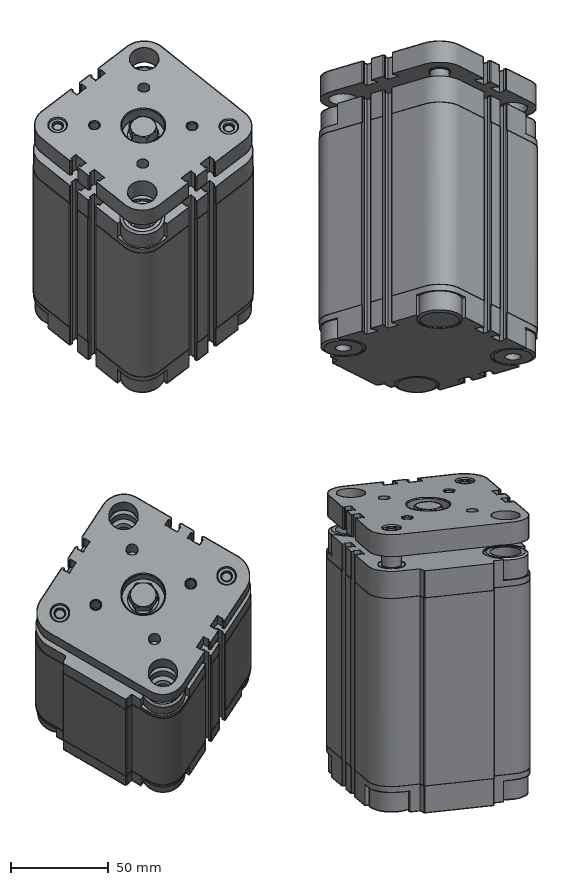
import cadquery as cq
import math


TOTAL_HEIGHT = 149.5
HOUSING_SIDE = 87.0
HOUSING_HEIGHT = 129.9
CAP_HEIGHT = 14.5
CAP_INSET = 0.1
PLATE_SIDE = 86.0
PLATE_THICKNESS = 11.8
CORNER_OFFSET = 31.0

GUIDE_AXES = [(-CORNER_OFFSET, -CORNER_OFFSET), (CORNER_OFFSET, CORNER_OFFSET)]
MOUNT_AXES = [(-CORNER_OFFSET, CORNER_OFFSET), (CORNER_OFFSET, -CORNER_OFFSET)]

SLOT_SPACING = 13.5
SLOT_OPENING = 5.1
SLOT_LIP_CHAMFER = 0.52
FRONT_SLOT_WIDTH = 7.3
FRONT_SLOT_DEPTH = 5.5
FRONT_SLOT_LIP = 2.1
SIDE_SLOT_WIDTH = 6.7
SIDE_SLOT_DEPTH = 5.2
SIDE_SLOT_LIP = 1.8

RAIL_HEIGHT = 4.0
RAIL_BASE_WIDTH = 40.2
RAIL_FOOT_WIDTH = 39.5
RAIL_FOOT_HEIGHT = 0.7
RAIL_SHOULDER_WIDTH = 38.4
RAIL_TOP_WIDTH = 37.4
RAIL_TOP_CHAMFER = 0.6

BOSS_DIAMETER = 23.0
BOSS_FACE_DIAMETER = 20.0
BOSS_CHAMFER_HEIGHT = 0.7
NOTCH_START = 25.4
NOTCH_HEIGHT = 11.2

MOUNT_HOLE_DIAMETER = 8.4
MOUNT_COUNTERSINK_DIAMETER = 11.0
MOUNT_COUNTERBORE_DIAMETER = 16.0
MOUNT_COUNTERBORE_DEPTH = 7.5
PLATE_ACCESS_DIAMETER = 15.0

GUIDE_DIAMETER = 10.0
GUIDE_COLLAR_DIAMETER = 11.0
GUIDE_COLLAR_HEIGHT = 0.6
GUIDE_SEAL_DIAMETER = 14.0
GUIDE_SEAL_DEPTH = 0.3
GUIDE_END_DIAMETER = 9.0
GUIDE_END_DEPTH = 0.7
GUIDE_SOCKET_DIAMETER = 5.0
GUIDE_SOCKET_RIM_DIAMETER = 6.0
GUIDE_SOCKET_DEPTH = 1.5

ROD_DIAMETER = 16.0
ROD_FLATS_WIDTH = 13.0
ROD_FLATS_HEIGHT = 6.1
ROD_SHOULDER_HEIGHT = 0.3
HEX_WIDTH = 13.0
HEX_TOP_DROP = 0.7
HEX_CHAMFER_HEIGHT = 0.6

RECESS_DIAMETER = 22.0
RECESS_RIM_DIAMETER = 23.0
RECESS_DEPTH = 7.5
PLATE_HOLE_OFFSET = 17.6
PIN_HOLE_DIAMETER = 6.0
THREAD_HOLE_DIAMETER = 5.0

HOUSING_HALF = HOUSING_SIDE / 2
CORNER_RADIUS = HOUSING_HALF - CORNER_OFFSET
PLATE_BOTTOM = TOTAL_HEIGHT - PLATE_THICKNESS
ROD_END = HOUSING_HEIGHT - CAP_HEIGHT
RECESS_FLOOR = TOTAL_HEIGHT - RECESS_DEPTH
CUT_MARGIN = 1.5


def rounded_square(side, bottom, height):
    """Square block with corners rounded to the housing radius, which is centered on the corner axes."""
    block = cq.Workplane("XY").workplane(offset=bottom).rect(side, side).extrude(height)
    return block.edges("|Z").fillet(CORNER_RADIUS)


def cylinder(axis, diameter, bottom, top):
    base = cq.Workplane("XY").workplane(offset=bottom).center(*axis)
    return base.circle(diameter / 2).extrude(top - bottom)


def cone(axis, bottom_diameter, top_diameter, bottom, top):
    base = cq.Vector(*axis, bottom)
    solid = cq.Solid.makeCone(bottom_diameter / 2, top_diameter / 2, top - bottom, base)
    return cq.Workplane(obj=solid)


def slot_pair(width, depth, lip, face):
    """Two full-height T-slots on the -Y side, with lips chamfered where they meet the body's face.

    Depth and lip are measured from the housing side, so the slots of all bodies line up.
    """
    half_opening = SLOT_OPENING / 2
    right_half = [
        (half_opening + SLOT_LIP_CHAMFER + CUT_MARGIN, face - CUT_MARGIN),
        (half_opening, face + SLOT_LIP_CHAMFER),
        (half_opening, lip - HOUSING_HALF),
        (width / 2, lip - HOUSING_HALF),
        (width / 2, depth - HOUSING_HALF),
    ]
    left_half = [(-x, y) for x, y in reversed(right_half)]
    slot = cq.Workplane("XY").polyline(right_half + left_half).close().extrude(TOTAL_HEIGHT)
    pair = slot.translate((-SLOT_SPACING / 2, 0, 0))
    return pair.union(slot.translate((SLOT_SPACING / 2, 0, 0)))


def cut_slots(body, body_side):
    """T-slots along the -Y, -X and +X sides of a body with the given side length."""
    face = -body_side / 2
    side_slots = slot_pair(SIDE_SLOT_WIDTH, SIDE_SLOT_DEPTH, SIDE_SLOT_LIP, face)
    body = body.cut(slot_pair(FRONT_SLOT_WIDTH, FRONT_SLOT_DEPTH, FRONT_SLOT_LIP, face))
    for angle in (-90, 90):
        body = body.cut(side_slots.rotate((0, 0, 0), (0, 0, 1), angle))
    return body


def rail(inset, bottom, height):
    """Trapezoidal rail along the +Y side, drawn in from its outline by the inset."""
    top = HOUSING_HALF + RAIL_HEIGHT - inset
    right_half = [
        (RAIL_BASE_WIDTH / 2 - inset, 0),
        (RAIL_BASE_WIDTH / 2 - inset, HOUSING_HALF - inset),
        (RAIL_FOOT_WIDTH / 2 - inset, HOUSING_HALF - inset + RAIL_FOOT_HEIGHT),
        (RAIL_SHOULDER_WIDTH / 2 - inset, top - RAIL_TOP_CHAMFER),
        (RAIL_TOP_WIDTH / 2 - inset, top),
    ]
    left_half = [(-x, y) for x, y in reversed(right_half)]
    base = cq.Workplane("XY").workplane(offset=bottom)
    return base.polyline(right_half + left_half).close().extrude(height)


def housing_section(inset, bottom, height):
    return rounded_square(HOUSING_SIDE - 2 * inset, bottom, height).union(rail(inset, bottom, height))


def corner_notch(axis, end, inward):
    """Cut that leaves a chamfered round boss in one corner at a housing end.

    The end is the level of the end face and inward is +1 or -1, pointing into the housing.
    """
    x_sign = 1 if axis[0] > 0 else -1
    y_sign = 1 if axis[1] > 0 else -1
    wall_center = NOTCH_START + HOUSING_HALF
    corner = cq.Workplane("XY").box(HOUSING_SIDE, HOUSING_SIDE, 2 * NOTCH_HEIGHT)
    corner = corner.translate((x_sign * wall_center, y_sign * wall_center, end))
    boss = cylinder(axis, BOSS_DIAMETER, end - NOTCH_HEIGHT, end + NOTCH_HEIGHT)
    chamfer_start = end + inward * BOSS_CHAMFER_HEIGHT
    low, high = sorted((end, chamfer_start))
    ring = cylinder(axis, BOSS_DIAMETER, low, high)
    if inward > 0:
        ring = ring.cut(cone(axis, BOSS_FACE_DIAMETER, BOSS_DIAMETER, low, high))
    else:
        ring = ring.cut(cone(axis, BOSS_DIAMETER, BOSS_FACE_DIAMETER, low, high))
    return corner.cut(boss).union(ring)


def mounting_hole(axis):
    """Through hole with a countersunk counterbore at the top."""
    seat = HOUSING_HEIGHT - MOUNT_COUNTERBORE_DEPTH
    sink_depth = (MOUNT_COUNTERSINK_DIAMETER - MOUNT_HOLE_DIAMETER) / 2
    hole = cylinder(axis, MOUNT_HOLE_DIAMETER, 0, HOUSING_HEIGHT)
    hole = hole.union(cone(axis, MOUNT_HOLE_DIAMETER, MOUNT_COUNTERSINK_DIAMETER, seat - sink_depth, seat))
    return hole.union(cylinder(axis, MOUNT_COUNTERBORE_DIAMETER, seat, HOUSING_HEIGHT))


def make_housing():
    tube_height = HOUSING_HEIGHT - 2 * CAP_HEIGHT
    body = housing_section(0, CAP_HEIGHT, tube_height)
    for cap_bottom in (0, HOUSING_HEIGHT - CAP_HEIGHT):
        body = body.union(housing_section(CAP_INSET, cap_bottom, CAP_HEIGHT))
    body = cut_slots(body, HOUSING_SIDE)
    for axis in MOUNT_AXES + GUIDE_AXES:
        body = body.cut(corner_notch(axis, 0, 1))
    for axis in MOUNT_AXES:
        body = body.cut(corner_notch(axis, HOUSING_HEIGHT, -1))
        body = body.cut(mounting_hole(axis))
    for axis in GUIDE_AXES:
        body = body.cut(cylinder(axis, GUIDE_DIAMETER, ROD_END, HOUSING_HEIGHT))
        seal_floor = HOUSING_HEIGHT - GUIDE_SEAL_DEPTH
        body = body.cut(cylinder(axis, GUIDE_SEAL_DIAMETER, seal_floor, HOUSING_HEIGHT))
    return body.cut(cylinder((0, 0), ROD_DIAMETER, ROD_END, HOUSING_HEIGHT))


def plate_blank():
    """Slotted plate with its access, pin and threaded holes."""
    plate = cut_slots(rounded_square(PLATE_SIDE, PLATE_BOTTOM, PLATE_THICKNESS), PLATE_SIDE)
    for axis in MOUNT_AXES:
        plate = plate.cut(cylinder(axis, PLATE_ACCESS_DIAMETER, PLATE_BOTTOM, TOTAL_HEIGHT))
    for side in (-1, 1):
        pin_axis = (side * PLATE_HOLE_OFFSET, -side * PLATE_HOLE_OFFSET)
        plate = plate.cut(cylinder(pin_axis, PIN_HOLE_DIAMETER, PLATE_BOTTOM, TOTAL_HEIGHT))
        thread_axis = (side * PLATE_HOLE_OFFSET, side * PLATE_HOLE_OFFSET)
        sink_bottom = TOTAL_HEIGHT - (PIN_HOLE_DIAMETER - THREAD_HOLE_DIAMETER) / 2
        plate = plate.cut(cylinder(thread_axis, THREAD_HOLE_DIAMETER, PLATE_BOTTOM, TOTAL_HEIGHT))
        sink = cone(thread_axis, THREAD_HOLE_DIAMETER, PIN_HOLE_DIAMETER, sink_bottom, TOTAL_HEIGHT)
        plate = plate.cut(sink)
    return plate


def cut_center_recess(plate):
    """Chamfered round recess around the end of the piston rod."""
    rim_bottom = TOTAL_HEIGHT - (RECESS_RIM_DIAMETER - RECESS_DIAMETER) / 2
    plate = plate.cut(cylinder((0, 0), RECESS_DIAMETER, RECESS_FLOOR, TOTAL_HEIGHT))
    return plate.cut(cone((0, 0), RECESS_DIAMETER, RECESS_RIM_DIAMETER, rim_bottom, TOTAL_HEIGHT))


def piston_rod():
    """Round rod with two wrench flats under the plate and a chamfered hexagon on top."""
    shoulder = RECESS_FLOOR + ROD_SHOULDER_HEIGHT
    rod = cylinder((0, 0), ROD_DIAMETER, ROD_END, shoulder)
    flats_bottom = PLATE_BOTTOM - ROD_FLATS_HEIGHT
    band = cq.Workplane("XY").workplane(offset=flats_bottom).rect(ROD_DIAMETER, ROD_DIAMETER)
    band = band.rect(ROD_DIAMETER, ROD_FLATS_WIDTH).extrude(ROD_FLATS_HEIGHT)
    rod = rod.cut(band)

    hex_top = TOTAL_HEIGHT - HEX_TOP_DROP
    hexagon = cq.Workplane("XY").workplane(offset=shoulder).polygon(6, HEX_WIDTH, circumscribed=True)
    hexagon = hexagon.extrude(hex_top - shoulder)
    corner_diameter = HEX_WIDTH / math.cos(math.pi / 6)
    chamfer_bottom = hex_top - HEX_CHAMFER_HEIGHT
    envelope = cylinder((0, 0), corner_diameter, shoulder, chamfer_bottom)
    envelope = envelope.union(cone((0, 0), corner_diameter, HEX_WIDTH, chamfer_bottom, hex_top))
    return rod.union(hexagon.intersect(envelope))


def add_guide_rod(plate, axis):
    """Guide rod with a collar under the plate and a socketed, countersunk end in its top face."""
    plate = plate.union(cylinder(axis, GUIDE_DIAMETER, ROD_END, PLATE_BOTTOM))
    collar_bottom = PLATE_BOTTOM - GUIDE_COLLAR_HEIGHT
    plate = plate.union(cylinder(axis, GUIDE_COLLAR_DIAMETER, collar_bottom, PLATE_BOTTOM))
    end_face = TOTAL_HEIGHT - GUIDE_END_DEPTH
    plate = plate.cut(cone(axis, GUIDE_END_DIAMETER, GUIDE_DIAMETER, end_face, TOTAL_HEIGHT))
    rim_bottom = end_face - (GUIDE_SOCKET_RIM_DIAMETER - GUIDE_SOCKET_DIAMETER) / 2
    plate = plate.cut(cylinder(axis, GUIDE_SOCKET_DIAMETER, end_face - GUIDE_SOCKET_DEPTH, end_face))
    return plate.cut(cone(axis, GUIDE_SOCKET_DIAMETER, GUIDE_SOCKET_RIM_DIAMETER, rim_bottom, end_face))


def make_moving_plate():
    plate = cut_center_recess(plate_blank()).union(piston_rod())
    for axis in GUIDE_AXES:
        plate = add_guide_rod(plate, axis)
    return plate


housing = make_housing()
moving_plate = make_moving_plate()

result = cq.Compound.makeCompound([housing.solids().val(), moving_plate.solids().val()])